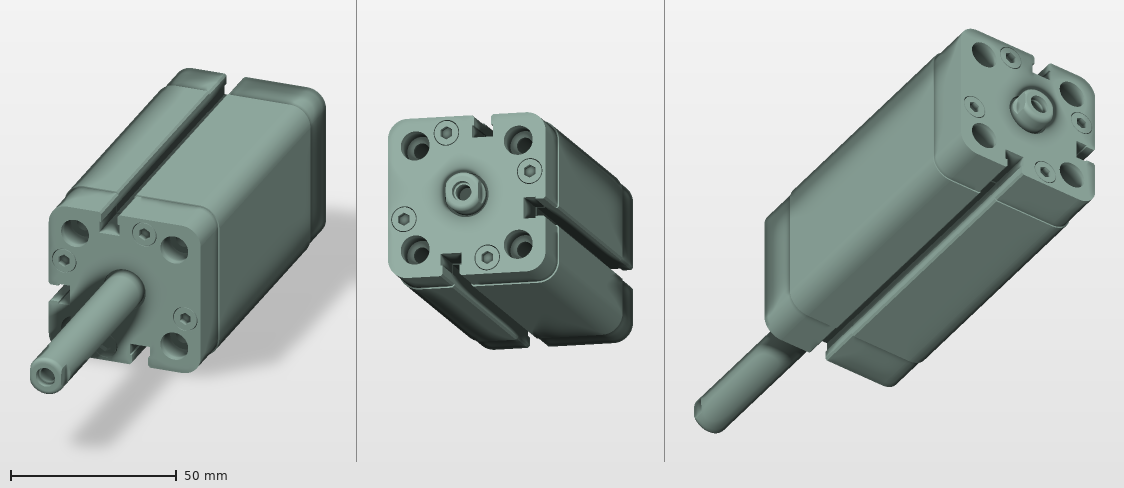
import cadquery as cq
import math

total_length = 176.5
rod_front_length = 66.0
rod_rear_length = 6.0
body_length = total_length - rod_front_length - rod_rear_length
cap_length = 14.3
barrel_length = body_length - 2 * cap_length
body_middle = body_length / 2

barrel_width = 50.1
cap_inset = 0.5
cap_width = barrel_width - 2 * cap_inset
barrel_corner_radius = 6.5
cap_corner_radius = barrel_corner_radius - cap_inset

slot_offset = 5.0
slot_sides = 3
mouth_width = 5.3
mouth_chamfer = 0.62
channel_top = 21.4
barrel_channel_width = 6.2
barrel_channel_floor = 18.2
channel_clearance = 0.2
cap_channel_width = barrel_channel_width + 2 * channel_clearance
cap_channel_floor = barrel_channel_floor - cap_inset

mount_offset = 16.0
mount_diameter = 5.0
counterbore_diameter = 9.0
counterbore_depth = 8.0

screw_offset_along = 6.4
screw_offset_out = 19.6
screw_hole_diameter = 8.0
screw_head_diameter = 7.5
screw_gap_depth = 4.5
hex_across_flats = 3.5
hex_depth = 2.1

rod_diameter = 12.0
bearing_diameter = 13.6
bearing_gap_depth = 1.0
tip_diameter = 9.2
flats_width = 10.0
flats_length = 4.5
thread_mouth_diameter = 6.2
thread_mouth_depth = 2.1
thread_core_diameter = 5.0
thread_depth = 14.1
drill_point_angle = 118.0


def section(y_start, length):
    """Workplane facing the front, placed so that extruding `length` ends at y_start."""
    return cq.Workplane("XZ", origin=(0, y_start + length, 0))


def rotated_copies(shape, count):
    """The shape repeated at quarter turns around the rod axis."""
    copies = shape
    for turn in range(1, count):
        copies = copies.union(shape.rotate((0, 0, 0), (0, 1, 0), -90 * turn))
    return copies


def slot_cutter(width, channel_width, channel_floor, y_start, length):
    """Upper T-slot of one body segment, its mouth edges chamfered at the outer face."""
    face = width / 2
    half_mouth = mouth_width / 2
    half_channel = channel_width / 2
    right_side = [
        (half_channel, channel_floor),
        (half_channel, channel_top),
        (half_mouth, channel_top),
        (half_mouth, face - mouth_chamfer),
        (half_mouth + mouth_chamfer, face),
    ]
    left_side = [(-x, z) for x, z in reversed(right_side)]
    outline = [(x - slot_offset, z) for x, z in right_side + left_side]
    return section(y_start, length).polyline(outline).close().extrude(length)


def segment(width, corner_radius, channel_width, channel_floor, y_start, length):
    """One length of the body with rounded corners and slots on three sides."""
    block = section(y_start, length).rect(width, width).extrude(length)
    block = block.edges("|Y").fillet(corner_radius)
    slot = slot_cutter(width, channel_width, channel_floor, y_start, length)
    return block.cut(rotated_copies(slot, slot_sides))


def cap(y_start):
    return segment(cap_width, cap_corner_radius, cap_channel_width, cap_channel_floor, y_start, cap_length)


def both_ends(front_shape):
    """The shape together with its mirror image at the other end of the body."""
    return front_shape.union(front_shape.mirror("XZ", (0, body_middle, 0)))


def mount_holes():
    """Through holes in the four corners, counterbored at both ends."""
    square = 2 * mount_offset
    holes = section(0, body_length).rect(square, square, forConstruction=True).vertices()
    holes = holes.circle(mount_diameter / 2).extrude(body_length)
    bores = section(0, counterbore_depth).rect(square, square, forConstruction=True).vertices()
    bores = bores.circle(counterbore_diameter / 2).extrude(counterbore_depth)
    return holes.union(both_ends(bores))


def screw_cuts():
    """Gaps around the screw heads, and hexagon sockets with a corner pointing up."""
    centers = [
        (screw_offset_along, screw_offset_out),
        (screw_offset_out, -screw_offset_along),
        (-screw_offset_along, -screw_offset_out),
        (-screw_offset_out, screw_offset_along),
    ]
    head_radius = screw_head_diameter / 2
    gaps = section(0, screw_gap_depth).pushPoints(centers).circle(screw_hole_diameter / 2).circle(head_radius)
    gaps = gaps.extrude(screw_gap_depth)
    corner_radius = hex_across_flats / 2 / math.cos(math.pi / 6)
    angles = [math.radians(30 + 60 * corner) for corner in range(6)]
    hexagon = [(corner_radius * math.cos(angle), corner_radius * math.sin(angle)) for angle in angles]
    socket = section(0, hex_depth).polyline(hexagon).close().extrude(hex_depth)
    for x, z in centers:
        gaps = gaps.union(socket.translate((x, 0, z)))
    return both_ends(gaps)


def bearing_gap():
    """Shallow recess around the rod where it leaves each cap."""
    gap = section(0, bearing_gap_depth).circle(bearing_diameter / 2).extrude(bearing_gap_depth)
    return both_ends(gap)


def rod_half(tip_y):
    """Front half of the rod, from its rounded tip at tip_y to the middle of the body."""
    radius = rod_diameter / 2
    tip_fillet = radius - tip_diameter / 2
    length = body_middle - tip_y
    rod = cq.Workplane("XZ", origin=(0, body_middle, 0)).circle(radius).extrude(length)
    rod = rod.faces("<Y").edges().fillet(tip_fillet)
    return rod.cut(flats(tip_y)).cut(threaded_hole(tip_y))


def flats(tip_y):
    """Two wrench flats that run out to the rod surface at 45 degrees."""
    flat_x = flats_width / 2
    rod_x = rod_diameter / 2
    outline = [
        (flat_x, tip_y),
        (flat_x, tip_y + flats_length),
        (rod_x, tip_y + flats_length + rod_x - flat_x),
        (rod_x, tip_y),
    ]
    flat = cq.Workplane("XY").polyline(outline).close().extrude(rod_x, both=True)
    return flat.union(flat.mirror("YZ"))


def threaded_hole(tip_y):
    """Threaded hole with a counterbored mouth and a conical drill point."""
    mouth_radius = thread_mouth_diameter / 2
    core_radius = thread_core_diameter / 2
    point_length = core_radius / math.tan(math.radians(drill_point_angle / 2))
    profile = [
        (0, tip_y),
        (mouth_radius, tip_y),
        (mouth_radius, tip_y + thread_mouth_depth),
        (core_radius, tip_y + thread_mouth_depth),
        (core_radius, tip_y + thread_depth),
        (0, tip_y + thread_depth + point_length),
    ]
    return cq.Workplane("XY").polyline(profile).close().revolve(360, (0, 0, 0), (0, 1, 0))


barrel = segment(
    barrel_width, barrel_corner_radius, barrel_channel_width, barrel_channel_floor, cap_length, barrel_length
)
body = barrel.union(cap(0)).union(cap(cap_length + barrel_length))
body = body.cut(mount_holes()).cut(screw_cuts()).cut(bearing_gap())

front_rod = rod_half(-rod_front_length)
rear_rod = rod_half(-rod_rear_length).mirror("XZ", (0, body_middle, 0))

result = body.union(front_rod).union(rear_rod)